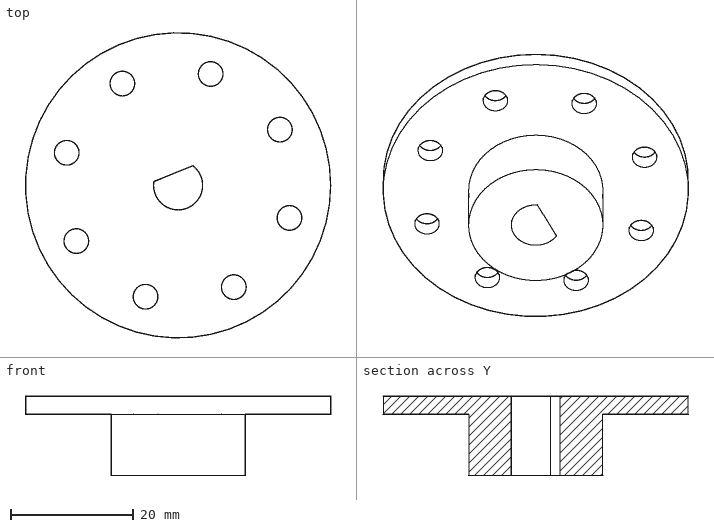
import cadquery as cq

flange_diameter = 50
flange_thickness = 3
hub_diameter = 22
hub_height = 10
total_height = hub_height + flange_thickness

bolt_hole_count = 8
bolt_hole_diameter = 4
bolt_circle_radius = 19
bolt_start_angle = 28.7

bore_diameter = 8
flat_distance = 2.05
flat_angle = 22


def make_body():
    """Hub standing on Z = 0 with the flange on top of it."""
    hub = cq.Workplane("XY").circle(hub_diameter / 2).extrude(hub_height)
    flange = (
        cq.Workplane("XY", origin=(0, 0, hub_height))
        .circle(flange_diameter / 2)
        .extrude(flange_thickness)
    )
    return hub.union(flange)


def make_bolt_holes():
    """Ring of equally spaced cylinders that cut the flange."""
    return (
        cq.Workplane("XY", origin=(0, 0, hub_height))
        .polarArray(bolt_circle_radius, bolt_start_angle, 360, bolt_hole_count)
        .circle(bolt_hole_diameter / 2)
        .extrude(flange_thickness)
    )


def make_shaft_bore():
    """Full-height cylinder with one side cut to a flat."""
    radius = bore_diameter / 2
    half_chord = (radius**2 - flat_distance**2) ** 0.5
    bore = (
        cq.Workplane("XY")
        .moveTo(-half_chord, flat_distance)
        .threePointArc((0, -radius), (half_chord, flat_distance))
        .close()
        .extrude(total_height)
    )
    return bore.rotate((0, 0, 0), (0, 0, 1), flat_angle)


result = make_body().cut(make_bolt_holes()).cut(make_shaft_bore())